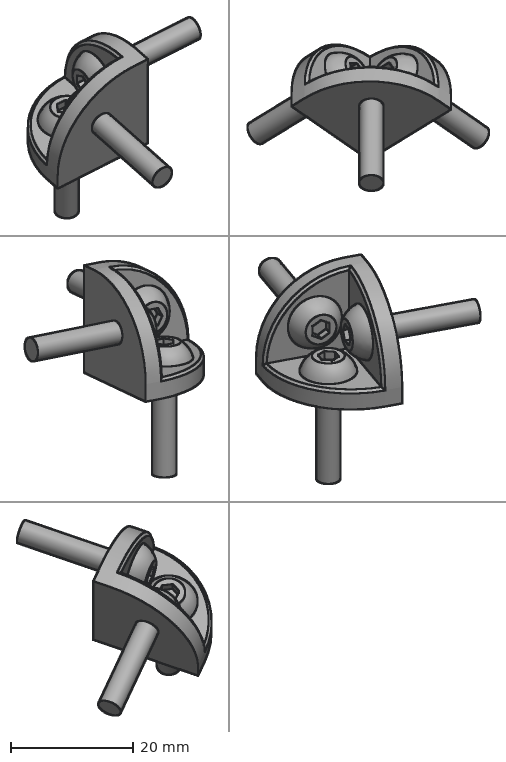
import cadquery as cq
import math

wall_thickness = 3.0
pad_height = 0.5
wall_radius = 15.5
wall_size = wall_radius + wall_thickness
face_height = wall_thickness + pad_height

screw_offset = 9.5
shank_diameter = 4.02
shank_length = 20.0
head_diameter = 9.5
head_flat_diameter = 5.4
head_height = 2.75
socket_flats = 3.0
socket_depth = 1.5
socket_corners = socket_flats / math.cos(math.pi / 6)

floor_plane = cq.Plane(origin=(0, 0, 0), xDir=(-1, 0, 0), normal=(0, 0, 1))
side_plane = cq.Plane(origin=(0, 0, 0), xDir=(0, -1, 0), normal=(-1, 0, 0))
back_plane = cq.Plane(origin=(0, 0, 0), xDir=(0, 0, 1), normal=(0, -1, 0))

walls = [(floor_plane, 90), (side_plane, 0), (back_plane, 0)]


def make_wall(plane):
    """Quarter-round wall with edge strips and a bevelled pad on its inner face."""
    arc_middle = wall_thickness + wall_radius * math.cos(math.pi / 4)
    slab = (
        cq.Workplane(plane)
        .lineTo(wall_size, 0)
        .lineTo(wall_size, wall_thickness)
        .threePointArc((arc_middle, arc_middle), (wall_thickness, wall_size))
        .lineTo(0, wall_size)
        .close()
        .extrude(wall_thickness)
    )
    pad_centre = plane.toWorldCoords((wall_thickness, wall_thickness, wall_thickness))
    pad_plane = cq.Plane(origin=pad_centre, xDir=plane.xDir, normal=-plane.yDir)
    pad = (
        cq.Workplane(pad_plane)
        .lineTo(wall_radius, 0)
        .lineTo(wall_radius - pad_height, pad_height)
        .lineTo(0, pad_height)
        .close()
        .revolve(90, (0, 0), (0, 1))
    )
    return slab.union(pad)


def make_screw_hole(plane):
    """Clearance-free hole for the shank through one wall."""
    return (
        cq.Workplane(plane)
        .center(screw_offset, screw_offset)
        .circle(shank_diameter / 2)
        .extrude(face_height)
    )


def make_bracket():
    bracket = make_wall(floor_plane).union(make_wall(side_plane)).union(make_wall(back_plane))
    for plane, _ in walls:
        bracket = bracket.cut(make_screw_hole(plane))
    return bracket


def make_screw(plane, socket_turn):
    """Button head screw seated on the inner face of a wall."""
    seat = plane.toWorldCoords((screw_offset, screw_offset, face_height))
    head_radius = head_diameter / 2
    flat_radius = head_flat_diameter / 2
    dome_centre = (head_height**2 + flat_radius**2 - head_radius**2) / (2 * head_height)
    dome_radius = math.hypot(head_radius, dome_centre)
    middle_height = head_height / 2
    middle_radius = math.sqrt(dome_radius**2 - (middle_height - dome_centre) ** 2)

    profile_plane = cq.Plane(origin=seat, xDir=plane.xDir, normal=-plane.yDir)
    head = (
        cq.Workplane(profile_plane)
        .lineTo(head_radius, 0)
        .threePointArc((middle_radius, middle_height), (flat_radius, head_height))
        .lineTo(0, head_height)
        .close()
        .revolve(360, (0, 0), (0, 1))
    )
    seat_plane = cq.Plane(origin=seat, xDir=plane.xDir, normal=plane.zDir)
    shank = cq.Workplane(seat_plane).circle(shank_diameter / 2).extrude(-shank_length)
    socket = (
        cq.Workplane(seat_plane)
        .workplane(offset=head_height)
        .transformed(rotate=(0, 0, socket_turn))
        .polygon(6, socket_corners)
        .extrude(-socket_depth)
    )
    return head.union(shank).cut(socket)


bracket = make_bracket()
screws = [make_screw(plane, socket_turn) for plane, socket_turn in walls]

result = cq.Compound.makeCompound([bracket.val(), *[screw.val() for screw in screws]])